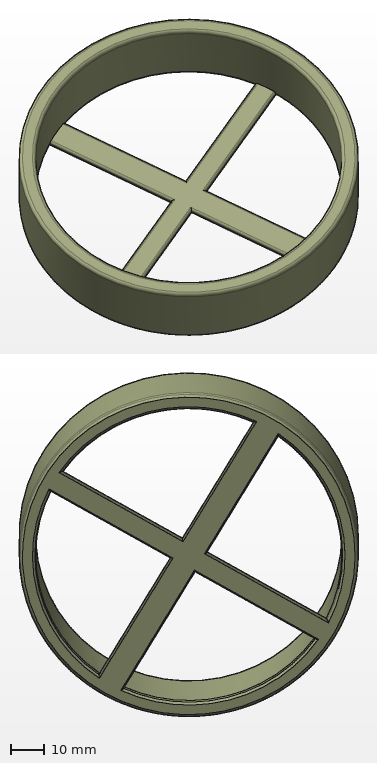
import cadquery as cq

outer_diameter = 101.5
inner_diameter = 91.5
ring_height = 22.0
rim_fillet = 1.0

ring_base_chamfer = 1.0
ring_blend_fillet = rim_fillet

x_bar_width = 8.5
y_bar_width = 7.0
bar_thickness = 2.0
bar_edge_fillet = 0.7

bar_base_chamfer = 0.5
bar_blend_fillet = bar_edge_fillet

level_tolerance = 0.01


def edges_at_level(body, height):
    """Select the edges of the body that lie flat at the given height."""
    reach = outer_diameter
    level = cq.selectors.BoxSelector(
        (-reach, -reach, height - level_tolerance),
        (reach, reach, height + level_tolerance),
        boundingbox=True,
    )
    return body.edges(level)


def soften_base(body, edge_kind, chamfer, blend_fillet):
    """Chamfer the bottom edges of one kind, then round the upper corner of the chamfers."""
    chamfered = body.faces("<Z").edges(edge_kind).chamfer(chamfer)
    return edges_at_level(chamfered, chamfer).edges(edge_kind).fillet(blend_fillet)


def make_ring():
    """Open ring with a rounded top rim and softened bottom edges."""
    ring = (
        cq.Workplane("XY")
        .circle(outer_diameter / 2)
        .circle(inner_diameter / 2)
        .extrude(ring_height)
    )
    ring = ring.faces(">Z").edges().fillet(rim_fillet)
    return soften_base(ring, "%CIRCLE", ring_base_chamfer, ring_blend_fillet)


def make_bar(width):
    """Bar along X with softened long edges, its ends buried halfway into the ring wall."""
    length = (outer_diameter + inner_diameter) / 2
    bar = cq.Workplane("XY").rect(length, width).extrude(bar_thickness)
    bar = soften_base(bar, "|X", bar_base_chamfer, bar_blend_fillet)
    return bar.faces(">Z").edges("|X").fillet(bar_edge_fillet)


x_bar = make_bar(x_bar_width)
y_bar = make_bar(y_bar_width).rotate((0, 0, 0), (0, 0, 1), 90)
result = make_ring().union(x_bar).union(y_bar)